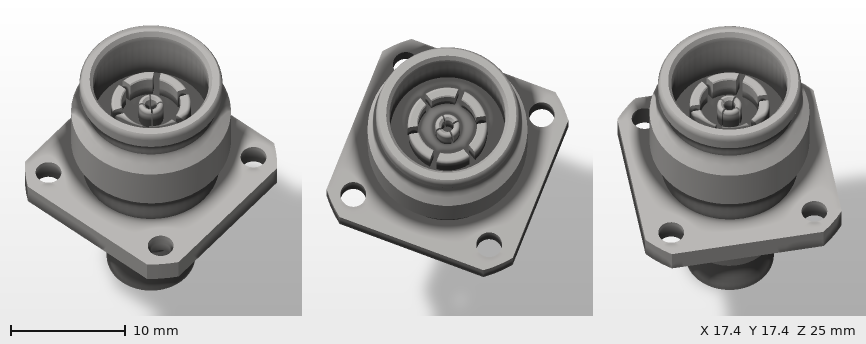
import cadquery as cq
import math


total_height = 25.0
tail_top = 3.48
tail_cone_top = 4.32
spigot_bottom = 6.02
flange_bottom = 10.85
flange_top = 12.9
collar_top = 15.38
body_bottom = 16.4
body_top = 20.5
rim_bottom = 23.5

tail_radius = 3.88
groove_radius = 3.05
spigot_radius = 4.12
collar_radius = 5.98
body_radius = 6.98
neck_radius = 5.72
rim_radius = 6.25

root_fillet = 0.3
spigot_chamfer = 0.2
rim_top_radius = 6.0
rim_round_height = 0.58

flange_width = 17.4
flange_corner_radius = 11.0
mount_hole_diameter = 2.25
mount_hole_spacing = 12.7

cavity_radius = 5.02
cavity_floor = 19.58
mouth_radius = 5.35
mouth_throat_radius = 5.08
mouth_taper_depth = 0.42
throat_round_depth = 0.4

contact_outer_radius = 3.48
contact_inner_radius = 2.58
contact_top = 21.82
contact_tip_round = 0.25
contact_inner_chamfer = 0.1
contact_slot_width = 0.6
contact_lip_bottom = 20.5
contact_relief = 0.05
contact_slot_count = 3

pin_radius = 1.08
pin_bore_radius = 0.52
pin_top = 21.7
pin_tip_round = 0.28
pin_mouth_chamfer = 0.22
pin_slot_width = 0.15
pin_slot_count = 2
pin_slot_angle = 45


def disc(radius, bottom, top):
    """Solid cylinder on the axis."""
    return cq.Workplane("XY").workplane(offset=bottom).circle(radius).extrude(top - bottom)


def revolve_profile(profile):
    """Revolve an (r, z) profile about the Z axis."""
    return profile.close().revolve(360, (0, 0, 0), (0, 1, 0))


def bulge_point(centre, start, end):
    """Middle of the short arc from start to end around centre."""
    radius = math.dist(centre, start)
    across = (start[0] + end[0]) / 2 - centre[0]
    along = (start[1] + end[1]) / 2 - centre[1]
    reach = radius / math.hypot(across, along)
    return (centre[0] + across * reach, centre[1] + along * reach)


def tangent_bulge(radius_at_wall, radius_at_end, wall_z, end_z):
    """Middle of an arc that leaves the vertical wall smoothly and reaches the end point."""
    step = radius_at_end - radius_at_wall
    rise = end_z - wall_z
    arc_radius = (step ** 2 + rise ** 2) / (2 * step)
    centre = (radius_at_wall + arc_radius, wall_z)
    return bulge_point(centre, (radius_at_wall, wall_z), (radius_at_end, end_z))


def make_lower_shaft():
    """Tail, groove and spigot below the flange."""
    groove_root = (groove_radius + root_fillet, spigot_bottom - root_fillet)
    groove_start = (groove_radius, spigot_bottom - root_fillet)
    groove_end = (groove_radius + root_fillet, spigot_bottom)
    flange_root = (spigot_radius + root_fillet, flange_bottom - root_fillet)
    flange_start = (spigot_radius, flange_bottom - root_fillet)
    flange_end = (spigot_radius + root_fillet, flange_bottom)
    profile = (
        cq.Workplane("XZ")
        .moveTo(0, 0)
        .lineTo(tail_radius, 0)
        .lineTo(tail_radius, tail_top)
        .lineTo(groove_radius, tail_cone_top)
        .lineTo(*groove_start)
        .threePointArc(bulge_point(groove_root, groove_start, groove_end), groove_end)
        .lineTo(spigot_radius - spigot_chamfer, spigot_bottom)
        .lineTo(spigot_radius, spigot_bottom + spigot_chamfer)
        .lineTo(*flange_start)
        .threePointArc(bulge_point(flange_root, flange_start, flange_end), flange_end)
        .lineTo(0, flange_bottom)
    )
    return revolve_profile(profile)


def make_flange():
    """Square plate whose corners are turned to a common circle, with four holes."""
    thickness = flange_top - flange_bottom
    plate = (
        cq.Workplane("XY")
        .workplane(offset=flange_bottom)
        .rect(flange_width, flange_width)
        .extrude(thickness)
    )
    plate = plate.intersect(disc(flange_corner_radius, flange_bottom, flange_top))
    return (
        plate.faces(">Z")
        .workplane(origin=(0, 0, flange_top))
        .rect(mount_hole_spacing, mount_hole_spacing, forConstruction=True)
        .vertices()
        .hole(mount_hole_diameter)
    )


def make_shell():
    """Outside of the socket above the flange."""
    rim_round_start = total_height - rim_round_height
    rim_bulge = tangent_bulge(rim_radius, rim_top_radius, rim_round_start, total_height)
    neck_bottom = body_top + body_radius - neck_radius
    profile = (
        cq.Workplane("XZ")
        .moveTo(0, flange_top)
        .lineTo(collar_radius, flange_top)
        .lineTo(collar_radius, collar_top)
        .lineTo(body_radius, body_bottom)
        .lineTo(body_radius, body_top)
        .lineTo(neck_radius, neck_bottom)
        .lineTo(neck_radius, rim_bottom)
        .lineTo(rim_radius, rim_bottom)
        .lineTo(rim_radius, rim_round_start)
        .threePointArc(rim_bulge, (rim_top_radius, total_height))
        .lineTo(0, total_height)
    )
    return revolve_profile(profile)


def make_cavity():
    """Socket space: tapered mouth, rounded throat and straight bore."""
    throat_top = total_height - mouth_taper_depth
    throat_bottom = throat_top - throat_round_depth
    throat_bulge = tangent_bulge(cavity_radius, mouth_throat_radius, throat_bottom, throat_top)
    profile = (
        cq.Workplane("XZ")
        .moveTo(0, cavity_floor)
        .lineTo(cavity_radius, cavity_floor)
        .lineTo(cavity_radius, throat_bottom)
        .threePointArc(throat_bulge, (mouth_throat_radius, throat_top))
        .lineTo(mouth_radius, total_height)
        .lineTo(0, total_height)
    )
    return revolve_profile(profile)


def make_sleeve(outer, inner, top, tip_round, mouth_chamfer):
    """Tube on the cavity floor with a rounded outer tip edge and a chamfered mouth."""
    round_centre = (outer - tip_round, top - tip_round)
    round_start = (outer, top - tip_round)
    round_end = (outer - tip_round, top)
    profile = (
        cq.Workplane("XZ")
        .moveTo(inner, cavity_floor)
        .lineTo(outer, cavity_floor)
        .lineTo(*round_start)
        .threePointArc(bulge_point(round_centre, round_start, round_end), round_end)
        .lineTo(inner + mouth_chamfer, top)
        .lineTo(inner, top - mouth_chamfer)
    )
    return revolve_profile(profile)


def cut_slots(sleeve, outer, width, top, count, first_angle):
    """Saw evenly turned slots right across a sleeve, from its tip to the cavity floor."""
    for index in range(count):
        slot = (
            cq.Workplane("XY")
            .workplane(offset=cavity_floor)
            .rect(2 * (outer + width), width)
            .extrude(top - cavity_floor)
            .rotate((0, 0, 0), (0, 0, 1), first_angle + index * 180 / count)
        )
        sleeve = sleeve.cut(slot)
    return sleeve


def make_outer_contact():
    """Ring of six fingers around the centre contact, relieved inside below their lips."""
    sleeve = make_sleeve(
        contact_outer_radius, contact_inner_radius, contact_top,
        contact_tip_round, contact_inner_chamfer,
    )
    relief_radius = contact_inner_radius + contact_relief
    sleeve = sleeve.cut(disc(relief_radius, cavity_floor, contact_lip_bottom))
    return cut_slots(
        sleeve, contact_outer_radius, contact_slot_width, contact_top, contact_slot_count, 0,
    )


def make_centre_contact():
    """Hollow pin split into four fingers on the diagonals."""
    tube = make_sleeve(pin_radius, pin_bore_radius, pin_top, pin_tip_round, pin_mouth_chamfer)
    return cut_slots(tube, pin_radius, pin_slot_width, pin_top, pin_slot_count, pin_slot_angle)


shell = make_shell().cut(make_cavity())
result = (
    make_lower_shaft()
    .union(make_flange())
    .union(shell)
    .union(make_outer_contact())
    .union(make_centre_contact())
)